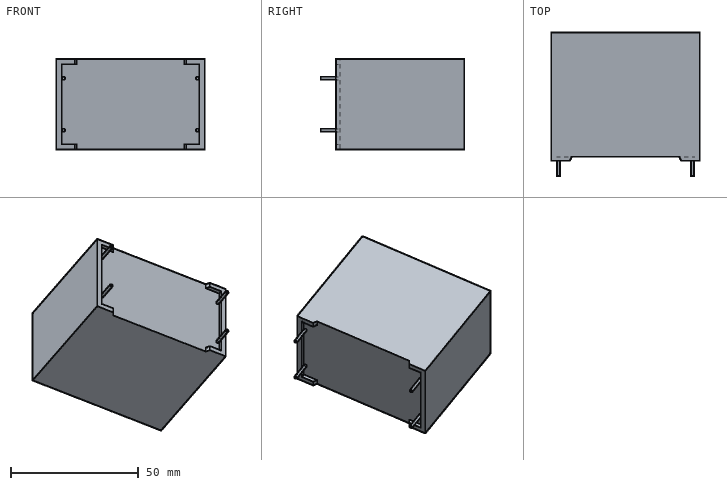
import cadquery as cq

width = 58.3
total_depth = 56.3
height = 35.5
pin_projection = 6.0
housing_depth = total_depth - pin_projection
wall = 2.15
recess_depth = 1.5

foot_width = 7.3
foot_base_width = 8.15
notch_rim_width = width - 2 * foot_width
notch_floor_width = width - 2 * foot_base_width

pin_diameter = 1.2
pin_spacing_x = 52.45
pin_spacing_z = 20.35
pin_length = recess_depth + pin_projection


def make_housing():
    """Block centred on X and Z, with its -Y rim at Y = 0 and a notched recess behind the rim."""
    block = cq.Workplane("XY").box(width, housing_depth, height, centered=(True, False, True))
    recess = cq.Workplane("XY").box(
        width - 2 * wall, recess_depth, height - 2 * wall, centered=(True, False, True)
    )
    notch = (
        cq.Workplane("XY", origin=(0, 0, -height / 2))
        .moveTo(-notch_rim_width / 2, 0)
        .lineTo(notch_rim_width / 2, 0)
        .lineTo(notch_floor_width / 2, recess_depth)
        .lineTo(-notch_floor_width / 2, recess_depth)
        .close()
        .extrude(height)
    )
    return block.cut(recess).cut(notch)


def make_pin(x, z):
    """Pin standing on the recess floor and pointing to -Y."""
    floor = cq.Workplane("XZ", origin=(x, recess_depth, z))
    return floor.circle(pin_diameter / 2).extrude(pin_length)


pin_places = [
    (side_x * pin_spacing_x / 2, side_z * pin_spacing_z / 2)
    for side_x in (-1, 1)
    for side_z in (-1, 1)
]

fixed_pin_place, *loose_pin_places = pin_places
housing = make_housing().union(make_pin(*fixed_pin_place))
pins = [make_pin(x, z).val() for x, z in loose_pin_places]

result = cq.Compound.makeCompound([housing.val(), *pins])